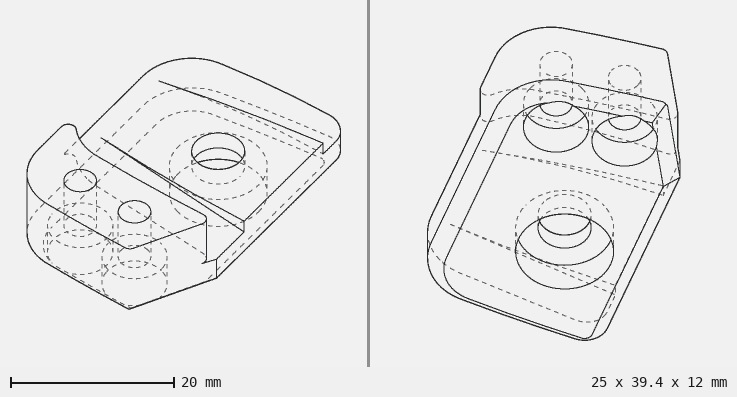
import math

import cadquery as cq


plate_height = 7.0
total_height = 12.0
bottom_chamfer = 2.0

length_x = 25.0
left_x = -15.25
right_x = left_x + length_x
bow_apex_x = right_x + 6.5
bow_apex_y = 14.5
bow_radius = 230.0
corner_radius = 7.3
corner_span = 6.9
rear_corner_radius = 3.0
slant_start_y = -14.45
slant_slope = 1.9
small_radius = 1.0

boss_width = 10.55
wall_shift = 0.4
front_shift = wall_shift + boss_width

pocket_x = left_x + 2.1
plateau_mid_x = left_x + 12.0
plateau_start_half = 6.2
plateau_mid_half = 7.5
plateau_end_half = 8.5
pocket_bend_drop = 0.1
pocket_end_drop = 1.8

main_hole_d = 6.5
main_bore_d = 12.0
small_hole_d = 4.0
small_bore_d = 8.0
bore_depth = 4.5
small_hole_points = [(-7.85, -18.35), (0.8, -19.15)]

margin = 5.0
join_x = left_x + corner_span
corner_x = left_x + corner_radius


def edge_y(x):
    """Y of the bowed rear edge."""
    return bow_apex_y - bow_radius + math.sqrt(bow_radius**2 - (bow_apex_x - x) ** 2)


corner_y = edge_y(join_x) - math.sqrt(corner_radius**2 - (corner_x - join_x) ** 2)


def corner_point(angle_deg):
    """Point on the large rear-left corner arc, 180 degrees being the left side."""
    angle = math.radians(angle_deg)
    return corner_x + corner_radius * math.cos(angle), corner_y + corner_radius * math.sin(angle)


def mirrored(point, shift):
    """Mirror a rear point to the front and move it forward by shift."""
    return point[0], -point[1] - shift


def edge_point(x):
    return x, edge_y(x)


def slant_x(y):
    """X of the slanted side."""
    return right_x + (y - slant_start_y) / slant_slope


def slant_meets_edge(shift):
    """Sharp corner between the slanted side and the mirrored edge, found by iteration."""
    x = right_x
    for _ in range(20):
        x = slant_x(-edge_y(x) - shift)
    return mirrored(edge_point(x), shift)


rear_right = edge_point(right_x)
front_tip = slant_meets_edge(front_shift)
wall_tip = slant_meets_edge(wall_shift)
join = edge_point(join_x)
corner_mid = corner_point(135)


def fillet_upright(solid, point, radius):
    """Round the upright edge that passes through a plan point."""
    x, y = point
    reach = 0.1
    box = cq.selectors.BoxSelector(
        (x - reach, y - reach, -margin), (x + reach, y + reach, total_height + margin)
    )
    return solid.edges("|Z").edges(box).fillet(radius)


def make_block():
    """Full-height block with a chamfered bottom and rounded corners."""
    block = (
        cq.Workplane("XY")
        .moveTo(left_x, corner_y)
        .threePointArc(corner_mid, join)
        .threePointArc(edge_point((join_x + right_x) / 2), rear_right)
        .lineTo(right_x, slant_start_y)
        .lineTo(*front_tip)
        .threePointArc(
            mirrored(edge_point((join_x + front_tip[0]) / 2), front_shift),
            mirrored(join, front_shift),
        )
        .threePointArc(
            mirrored(corner_mid, front_shift), mirrored((left_x, corner_y), front_shift)
        )
        .close()
        .extrude(total_height)
    )
    block = fillet_upright(block, rear_right, rear_corner_radius)
    block = block.faces("<Z").chamfer(bottom_chamfer)
    return fillet_upright(block, front_tip, small_radius)


def make_boss_region():
    """Prism whose rear wall is the boss wall and which overruns the block at the front."""
    tip_x = left_x + small_radius
    tip_drop = 2 * math.sqrt(corner_radius * small_radius)
    tip_y = -corner_y - wall_shift - tip_drop
    touch_angle = math.atan2(tip_drop, tip_x - corner_x)
    touch = mirrored(corner_point(math.degrees(touch_angle)), wall_shift)
    join_angle = math.atan2(join[1] - corner_y, join_x - corner_x)
    wall_mid_angle = math.degrees((touch_angle + join_angle) / 2)
    tip_mid_angle = math.pi - touch_angle / 2
    tip_mid = (
        tip_x + small_radius * math.cos(tip_mid_angle),
        tip_y + small_radius * math.sin(tip_mid_angle),
    )
    low_y = front_tip[1] - margin
    region = (
        cq.Workplane("XY")
        .moveTo(left_x, tip_y)
        .threePointArc(tip_mid, touch)
        .threePointArc(mirrored(corner_point(wall_mid_angle), wall_shift), mirrored(join, wall_shift))
        .threePointArc(mirrored(edge_point((join_x + wall_tip[0]) / 2), wall_shift), wall_tip)
        .lineTo(slant_x(low_y), low_y)
        .lineTo(left_x, low_y)
        .close()
        .extrude(total_height)
    )
    return fillet_upright(region, wall_tip, small_radius)


def make_plateau():
    """Prism of the level area that separates the two pockets."""
    return (
        cq.Workplane("XY")
        .moveTo(pocket_x, plateau_start_half)
        .threePointArc((plateau_mid_x, plateau_mid_half), (right_x, plateau_end_half))
        .lineTo(right_x, -plateau_end_half)
        .threePointArc((plateau_mid_x, -plateau_mid_half), (pocket_x, -plateau_start_half))
        .close()
        .extrude(total_height)
    )


def make_pockets():
    """Material above the floors that curve down towards the right side."""
    bend = (join_x, plate_height - pocket_bend_drop)
    bend_slope = 2 * pocket_bend_drop / (join_x - pocket_x)
    floor_end = (right_x, plate_height - pocket_end_drop)
    tools = (
        cq.Workplane("XZ", origin=(0, bow_apex_y, 0))
        .moveTo(pocket_x, plate_height)
        .spline([bend], tangents=[(1, 0), (1, -bend_slope)], includeCurrent=True)
        .tangentArcPoint(floor_end, relative=False)
        .lineTo(right_x, plate_height)
        .close()
        .extrude(bow_apex_y - front_tip[1])
    )
    return tools.cut(make_plateau())


def bored_hole(point, hole_d, bore_d):
    """Through hole with a counterbore from the bottom."""
    hole = cq.Workplane("XY").center(*point).circle(hole_d / 2).extrude(total_height)
    bore = cq.Workplane("XY").center(*point).circle(bore_d / 2).extrude(bore_depth)
    return hole.union(bore)


block = make_block()
boss = block.intersect(make_boss_region())
above_plate_side = 4 * length_x
above_plate = (
    cq.Workplane("XY", origin=(0, 0, plate_height))
    .rect(above_plate_side, above_plate_side)
    .extrude(total_height)
)
result = block.cut(above_plate).cut(make_pockets()).union(boss)

result = result.cut(bored_hole((0, 0), main_hole_d, main_bore_d))
for hole_point in small_hole_points:
    result = result.cut(bored_hole(hole_point, small_hole_d, small_bore_d))